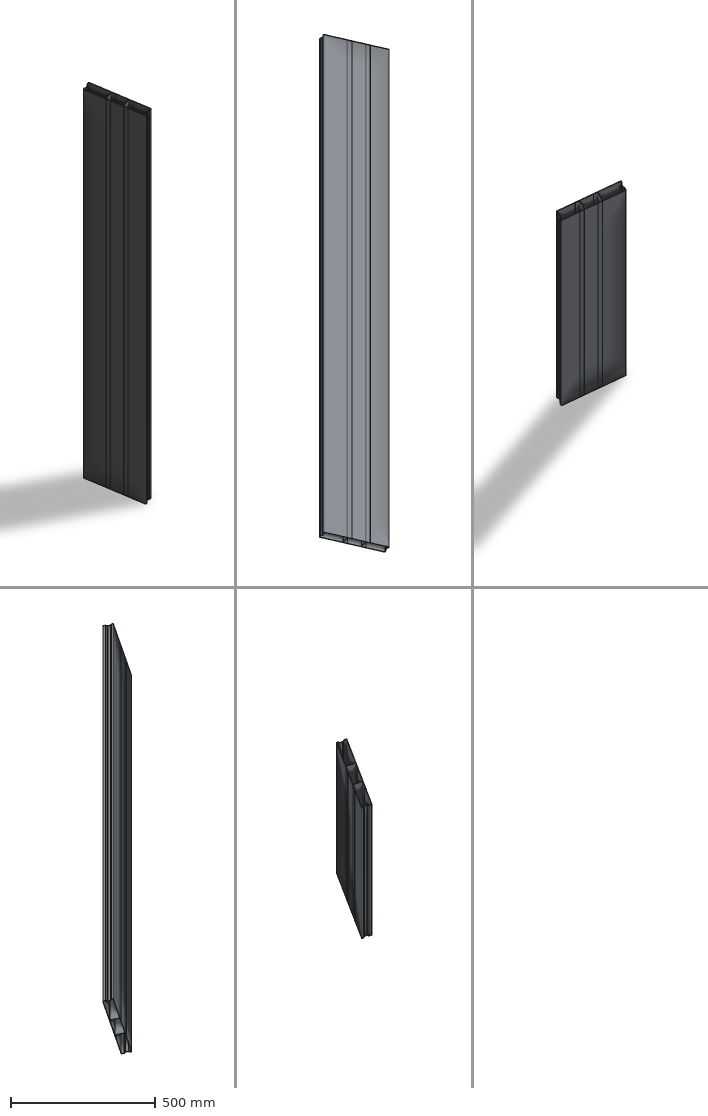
import cadquery as cq
import math

LENGTH = 2000.0
WIDTH = 250.0
DEPTH = 38.0

SHEET = 0.8
TRAY_BEND = 1.5
STUD_BEND = 1.0

GROOVE_DEPTH = 4.2
GROOVE_FLOOR_REAR = 5.0
GROOVE_FLOOR_FRONT = 8.0
SEAM_Y = 2.0

STUD_PITCH = 70.0
STUD_FLANGE = 18.0

HALF_WIDTH = WIDTH / 2
HALF_DEPTH = DEPTH / 2
INNER_DEPTH = DEPTH - 2 * SHEET

BEND_SHIFT = SHEET * math.tan(math.radians(45 / 2))


def round_bend(body, outer_corners, inner_corners, outer_radius):
    """Round the corners of a 90 degree sheet bend so that the sheet keeps its thickness."""
    def upright_edges(corners):
        edges = body.edges("|Z").vals()
        return [
            edge for edge in edges
            if any((edge.Center() - cq.Vector(x, y, LENGTH / 2)).Length < SHEET / 10 for x, y in corners)
        ]

    outer_edges = upright_edges(outer_corners)
    inner_edges = upright_edges(inner_corners)
    solid = body.val().fillet(outer_radius, outer_edges)
    return solid.fillet(outer_radius - SHEET, inner_edges)


def mirrored(points):
    """Mirror points across the YZ plane, in reverse order so that an outline runs on."""
    return [(-x, y) for x, y in reversed(points)]


def make_tray(side, floor_edge):
    """Sheet tray: skin on one side (+1 rear, -1 front), its ends folded in and joggled into the groove."""
    skin = side * HALF_DEPTH
    mouth = floor_edge + side * GROOVE_DEPTH
    floor_x = HALF_WIDTH - GROOVE_DEPTH
    outer = [
        (HALF_WIDTH, skin),
        (HALF_WIDTH, mouth),
        (floor_x, floor_edge),
        (floor_x, SEAM_Y),
    ]
    inner = [
        (HALF_WIDTH - SHEET, skin - side * SHEET),
        (HALF_WIDTH - SHEET, mouth + side * BEND_SHIFT),
        (floor_x - SHEET, floor_edge + side * BEND_SHIFT),
        (floor_x - SHEET, SEAM_Y),
    ]
    outline = outer + inner[::-1] + mirrored(inner[::-1]) + mirrored(outer)
    tray = cq.Workplane("XY").polyline(outline).close().extrude(LENGTH)
    outer_corners = [outer[0], *mirrored(outer[:1])]
    inner_corners = [inner[0], *mirrored(inner[:1])]
    return round_bend(tray, outer_corners, inner_corners, TRAY_BEND)


def make_stud(web_x):
    """C-shaped stud between the skins, its web at web_x and its flanges pointing to +X."""
    outer_y = INNER_DEPTH / 2
    inner_y = outer_y - SHEET
    inner_x = web_x + SHEET
    flange_end = web_x + STUD_FLANGE
    outline = [
        (web_x, -outer_y),
        (flange_end, -outer_y),
        (flange_end, -inner_y),
        (inner_x, -inner_y),
        (inner_x, inner_y),
        (flange_end, inner_y),
        (flange_end, outer_y),
        (web_x, outer_y),
    ]
    stud = cq.Workplane("XY").polyline(outline).close().extrude(LENGTH)
    outer_corners = [(web_x, -outer_y), (web_x, outer_y)]
    inner_corners = [(inner_x, -inner_y), (inner_x, inner_y)]
    return round_bend(stud, outer_corners, inner_corners, STUD_BEND)


rear_tray = make_tray(1, GROOVE_FLOOR_REAR)
front_tray = make_tray(-1, -GROOVE_FLOOR_FRONT)
studs = [make_stud(side * STUD_PITCH / 2) for side in (-1, 1)]

result = cq.Compound.makeCompound([rear_tray, front_tray, *studs])